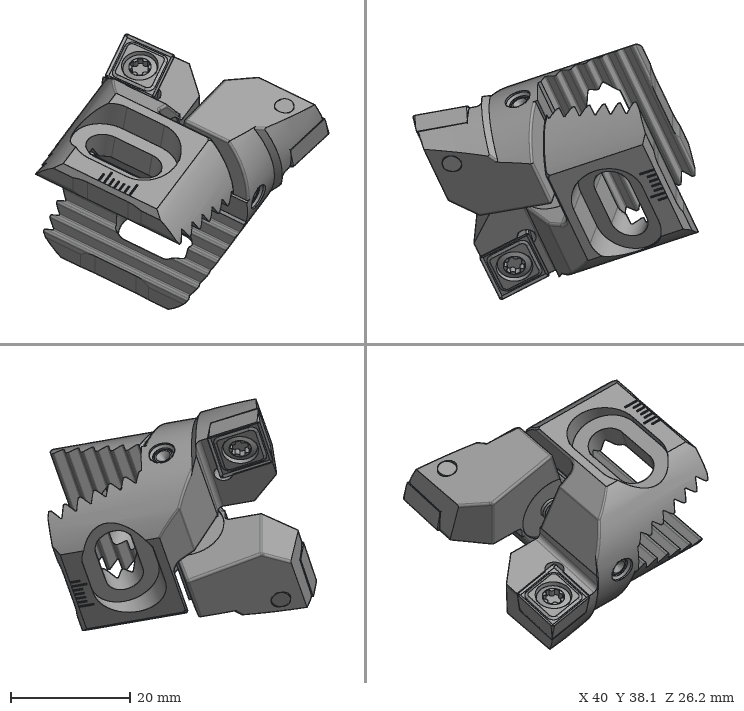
import cadquery as cq
import math


holder_radius = 16.0
holder_axis_x = -0.75
holder_height = 26.2
tilt = 15.0
slope = math.tan(math.radians(tilt))
reach = 40.0

half_height = holder_height / 2

finger_inner_x = -2.35
finger_end_y = 37.9
finger_rear_y = 16.75
rear_flat_bottom_z = -2.3
rear_step = 0.45
back_slope_start = (19.65, -12.3)
end_slope_y = 36.9
tip_chamfer = 5.1
inner_round = 0.45
outer_round = 0.4
flare_start_y = 25.5
flare_step = 0.95
flare_growth = 0.165
seat_wall_y = 26.5
seat_wall_top_z = 2.9
seat_fillet = 0.9
shoulder = (22.5, 10.15)
shoulder_start_y = 18.25

jaw_chamfer = 1.05
jaw_lip_z = 8.5
jaw_front_y = 18.65
jaw_corner_fillet = 1.8
jaw_bevel = 0.3
tooth_count = 6
tooth_pitch_y = 2.66
first_valley = (15.65, 5.35)
first_tip = (13.8, 3.9)
tip_flat = 0.5
tooth_round = 0.15
jaw_root = [(16.25, 3.35), (finger_rear_y, 3.1)]

slot_center_x = -3.2
slot_top_y = 10.45
slot_straight = 7.3
slot_radius = 3.3
counterbore_radius = 6.0
counterbore_depth = 3.25

recess_half_flat = 4.0
recess_half_width = 6.7
recess_depth = 0.3

mark_count = 7
mark_pitch = 1.0
long_marks = (1, 6)
mark_start_y = 1.15
mark_length = 1.55
long_mark_length = 2.5
mark_width = 0.25
mark_depth = 0.1

insert_tilt = 3.0
insert_width = 9.5
insert_angle = 80.0
insert_thickness = 3.95
insert_relief = 7.0
insert_corner = 0.4
insert_center = (-14.4, 33.3)
insert_tip = (-20.0, 0.0)
insert_above_seat = 0.2
groove_depth = 0.25
groove_taper = 65.0
plateau_inset = 1.3
plateau_corner = 0.8
corner_relief_center = (-9.65, 29.25)
corner_relief_radius = 1.6
corner_relief_bottom_radius = 0.8

screw_bore_radius = 3.1
screw_head_radius = 2.9
screw_face_radius = 1.9
screw_face_depth = 0.3
screw_rim_depth = 0.7
screw_head_depth = 1.9
screw_shank_radius = 1.65
screw_length = 8.9
star_outer_radius = 1.7
rib_center_radius = 1.8
rib_radius = 0.5
star_depth = 1.6
star_points = 6

adjuster_y = 20.3
adjuster_radius = 1.8
adjuster_tip_x = -1.9
adjuster_outer_x = -15.8
adjuster_chamfer = 0.3
spotface_radius = 6.0
spotface_x = -2.75
adjuster_mouth = 0.45
pit_radius = 1.25
pit_depth = 1.2


def extrude_yz(outline, x_from, x_to):
    """Prism along X over an outline of (y, z) points."""
    return cq.Workplane("YZ").workplane(offset=x_from).polyline(outline).close().extrude(x_to - x_from)


def tilted(body):
    """Turn a body drawn level into the tilt of the insert seat."""
    pivot_x, pivot_z = insert_tip
    return body.rotate((pivot_x, 0, pivot_z), (pivot_x, 1, pivot_z), -insert_tilt)


def half_turn(body):
    return body.rotate((0, 0, 0), (0, 1, 0), 180)


def middle(start, end):
    return (start + end) / 2


def jaw_front_at(z):
    return jaw_front_y - slope * (half_height - z)


def tooth_points():
    points = []
    for i in reversed(range(tooth_count)):
        dy = -i * tooth_pitch_y
        dz = i * tooth_pitch_y * slope
        points.append((first_tip[0] + dy - tip_flat / 2, first_tip[1] + dz))
        points.append((first_tip[0] + dy + tip_flat / 2, first_tip[1] + dz))
        points.append((first_valley[0] + dy, first_valley[1] + dz))
    return points


def back_z(y):
    """Height of the finger's sloping back."""
    return back_slope_start[1] + slope * (y - back_slope_start[0])


def rear_y(z):
    """Position of the finger's leaning rear face."""
    return finger_rear_y + rear_step + slope * (rear_flat_bottom_z - z)


def rear_corner():
    """Where the rear face and the sloping back meet; both lean by the tilt, so at a right angle."""
    start_y, start_z = back_slope_start
    y = (rear_y(start_z) + slope ** 2 * start_y) / (1 + slope ** 2)
    return y, back_z(y)


def side_profile():
    outline = [
        (finger_rear_y, rear_flat_bottom_z),
        (rear_y(rear_flat_bottom_z), rear_flat_bottom_z),
        rear_corner(),
        (end_slope_y, back_z(end_slope_y)),
        (finger_end_y, 0),
        (finger_end_y, seat_wall_top_z),
        (seat_wall_y, seat_wall_top_z),
        shoulder,
        (shoulder_start_y, half_height),
        (jaw_chamfer, half_height),
        (0, half_height - jaw_chamfer),
        (0, jaw_lip_z),
    ]
    return outline + tooth_points() + jaw_root


def round_outside():
    """Cylinder with the flared cutting end, about the holder's own axis."""
    flare_y = flare_start_y + flare_step
    flare_radius = holder_radius + flare_step
    end_radius = flare_radius + flare_growth * (reach - flare_y)
    outline = [
        (0, 0),
        (holder_radius, 0),
        (holder_radius, flare_start_y),
        (flare_radius, flare_y),
        (end_radius, reach),
        (0, reach),
    ]
    body = cq.Workplane("XY").polyline(outline).close().revolve(360, (0, 0), (0, 1))
    return body.translate((holder_axis_x, 0, 0))


def gap_tool():
    """Space in front of the jaw, beside the finger, where the other finger goes."""
    outline = [
        (jaw_front_at(-reach), -reach),
        (jaw_front_at(reach), reach),
        (2 * reach, reach),
        (2 * reach, -reach),
    ]
    tool = extrude_yz(outline, finger_inner_x, reach)
    corner = cq.selectors.NearestToPointSelector((finger_inner_x, jaw_front_at(0), 0))
    return tool.edges(corner).fillet(jaw_corner_fillet)


def spotface_tool():
    """Round clearance about the adjusting screw, between the fingers and up to the jaw."""
    tool = cq.Workplane("YZ").circle(spotface_radius).extrude(reach)
    return tool.translate((spotface_x, adjuster_y, 0))


def tip_chamfer_tool():
    start_x = finger_inner_x - tip_chamfer
    outline = [
        (start_x, finger_end_y),
        (start_x + reach, finger_end_y),
        (start_x + reach, finger_end_y - reach),
    ]
    return cq.Workplane("XY").polyline(outline).close().extrude(reach, both=True)


def seat_tool():
    """Space above the insert seat, with the rounded foot of its wall."""
    tool = cq.Workplane("XY").box(2 * reach, reach, reach, centered=(True, False, False))
    tool = tool.edges("<Y and <Z").fillet(seat_fillet)
    tool = tool.translate((0, seat_wall_y, -insert_above_seat))
    return tilted(tool)


def slot_tool():
    """Counterbored obround slot, square to the teeth."""
    plane = cq.Plane(
        origin=(slot_center_x, slot_top_y, half_height),
        xDir=(1, 0, 0),
        normal=(0, math.sin(math.radians(tilt)), math.cos(math.radians(tilt))),
    )

    def obround(radius, bottom, height):
        profile = cq.Workplane(plane).workplane(offset=bottom)
        return profile.slot2D(slot_straight + 2 * radius, 2 * radius).extrude(height)

    counterbore = obround(counterbore_radius, -counterbore_depth, 2 * counterbore_depth)
    through = obround(slot_radius, -half_height, half_height)
    return counterbore.union(through)


def recess_tool():
    ramp = recess_half_width - recess_half_flat
    bend_x = recess_half_width - ramp / 2
    bend_y = recess_depth * 3 / 4
    return (
        cq.Workplane("XY")
        .moveTo(-recess_half_width, 0)
        .threePointArc((-bend_x, bend_y), (-recess_half_flat, recess_depth))
        .lineTo(recess_half_flat, recess_depth)
        .threePointArc((bend_x, bend_y), (recess_half_width, 0))
        .close()
        .extrude(half_height)
        .translate((holder_axis_x, 0, 0))
    )


def graduation_tool():
    marks = []
    for i in range(mark_count):
        x = (i - (mark_count - 1) / 2) * mark_pitch
        length = long_mark_length if i in long_marks else mark_length
        mark = cq.Workplane("XY").box(mark_width, length, mark_depth, centered=(True, False, False))
        marks.append(mark.translate((x, mark_start_y, half_height - mark_depth)).val())
    return cq.Compound.makeCompound(marks)


def adjuster_bore():
    mouth_x = holder_axis_x - holder_radius
    mouth_radius = adjuster_radius + adjuster_mouth
    outline = [
        (mouth_x - mouth_radius, 0),
        (mouth_x - mouth_radius, mouth_radius),
        (mouth_x + adjuster_mouth, mouth_radius),
        (mouth_x + 2 * adjuster_mouth, adjuster_radius),
        (0, adjuster_radius),
        (0, 0),
    ]
    bore = cq.Workplane("XY").polyline(outline).close().revolve(360, (0, 0), (1, 0))
    return bore.translate((0, adjuster_y, 0))


def insert_screw_bore():
    bore = cq.Workplane("XY").circle(screw_shank_radius).extrude(-half_height)
    return tilted(bore.translate((*insert_center, 0)))


def corner_relief():
    relief = cq.Solid.makeCone(
        corner_relief_bottom_radius, corner_relief_radius, insert_thickness,
        pnt=cq.Vector(*corner_relief_center, -insert_thickness - insert_above_seat),
    )
    return tilted(relief)


def side_x(z, side):
    """Where the round outside lies at a height; side is -1 for the outer side of the finger, 1 for the other."""
    return holder_axis_x + side * math.sqrt(holder_radius ** 2 - z ** 2)


def soften_edges(body):
    """Round the long edges of the finger and bevel the end of the jaw's front edge."""

    def edges_near(*points):
        found = [body.edges(cq.selectors.NearestToPointSelector(point)).val() for point in points]
        return body.newObject(found)

    corner_y, corner_z = rear_corner()
    mid_y = middle(corner_y, finger_end_y - tip_chamfer)
    chamfer_mid_x = finger_inner_x - tip_chamfer / 2
    chamfer_mid_y = finger_end_y - tip_chamfer / 2
    wall_y = middle(shoulder[0], seat_wall_y)
    wall_z = middle(shoulder[1], seat_wall_top_z)
    top_y = middle(shoulder[0], shoulder_start_y)
    top_z = middle(shoulder[1], half_height)
    rear_z = middle(rear_flat_bottom_z, corner_z)
    step_y = flare_start_y + flare_step / 2
    step_z = back_z(step_y)
    jaw_z = middle(first_valley[1], half_height)

    body = edges_near(
        (side_x(rear_z, -1), rear_y(rear_z), rear_z),
        (side_x(corner_z, -1) / 2, corner_y, corner_z),
        (side_x(step_z, -1) - flare_step / 2, step_y, step_z),
    ).fillet(outer_round)
    body = edges_near((finger_inner_x, mid_y, back_z(mid_y))).fillet(inner_round)
    body = edges_near((chamfer_mid_x, chamfer_mid_y, back_z(chamfer_mid_y))).fillet(inner_round)
    body = edges_near((side_x(wall_z, -1), wall_y, wall_z)).fillet(outer_round)
    body = edges_near((side_x(top_z, -1), top_y, top_z)).fillet(outer_round)
    body = edges_near((finger_inner_x, wall_y, wall_z), (finger_inner_x, top_y, top_z)).fillet(inner_round)
    return edges_near((side_x(jaw_z, 1), jaw_front_at(jaw_z), jaw_z)).chamfer(jaw_bevel)


def make_holder():
    body = extrude_yz(side_profile(), -reach, reach)
    tooth_zone = cq.selectors.BoxSelector(
        (-0.4, tooth_round, first_tip[1] - tooth_round),
        (0.4, first_valley[0] + tooth_round, half_height - jaw_chamfer),
    )
    body = body.edges("|X").edges(tooth_zone).fillet(tooth_round)
    body = body.intersect(round_outside())
    body = body.cut(gap_tool()).cut(tip_chamfer_tool())
    body = soften_edges(body)
    body = body.cut(spotface_tool()).cut(seat_tool())
    body = body.cut(slot_tool()).cut(recess_tool()).cut(graduation_tool())
    body = body.cut(adjuster_bore()).cut(insert_screw_bore())
    body = body.cut(insert_blank()).cut(corner_relief())
    return body


def rhombus(inset, corner):
    """Outline of the insert, moved inwards by the inset, with rounded corners."""
    side = (insert_width - 2 * inset) / math.sin(math.radians(insert_angle))
    half_rise = insert_width / 2 - inset
    lean = half_rise / math.tan(math.radians(insert_angle))
    points = [
        (-side / 2 - lean, half_rise),
        (side / 2 - lean, half_rise),
        (side / 2 + lean, -half_rise),
        (-side / 2 + lean, -half_rise),
    ]
    blank = cq.Workplane("XY").polyline(points).close().extrude(0.4).edges("|Z").fillet(corner)
    return blank.faces("<Z").wires().toPending()


def insert_blank():
    blank = rhombus(0, insert_corner).extrude(-insert_thickness, taper=insert_relief, combine=False)
    return tilted(blank.translate((*insert_center, 0)))


def screw_head_room():
    outline = [
        (0, 0),
        (screw_bore_radius, 0),
        (screw_head_radius, -screw_rim_depth),
        (screw_shank_radius, -screw_head_depth),
        (screw_shank_radius, -insert_thickness),
        (0, -insert_thickness),
    ]
    return cq.Workplane("XZ").polyline(outline).close().revolve(360, (0, 0), (0, 1))


def chip_groove():
    rim = rhombus(0, insert_corner)
    outer = rim.extrude(-groove_depth, taper=groove_taper, combine=False)
    plateau_edge = rhombus(plateau_inset, plateau_corner)
    plateau = plateau_edge.extrude(-groove_depth, taper=-groove_taper, combine=False)
    return outer.cut(plateau)


def make_insert():
    center = (*insert_center, 0)
    cuts = screw_head_room().union(chip_groove()).translate(center)
    return insert_blank().cut(tilted(cuts))


def star_socket():
    """Six-lobed socket: a round hole with six ribs reaching inwards."""
    ribs = cq.Workplane("XY").polarArray(rib_center_radius, 180 / star_points, 360, star_points)
    ribs = ribs.circle(rib_radius).extrude(-star_depth)
    return cq.Workplane("XY").circle(star_outer_radius).extrude(-star_depth).cut(ribs)


def make_insert_screw():
    outline = [
        (0, -screw_face_depth),
        (screw_face_radius, -screw_face_depth),
        (screw_head_radius, -screw_rim_depth),
        (screw_shank_radius, -screw_head_depth),
        (screw_shank_radius, -screw_length),
        (0, -screw_length),
    ]
    screw = cq.Workplane("XZ").polyline(outline).close().revolve(360, (0, 0), (0, 1))
    screw = screw.cut(star_socket())
    return tilted(screw.translate((*insert_center, 0)))


def make_adjusting_screw():
    length = adjuster_tip_x - adjuster_outer_x
    screw = cq.Workplane("YZ").circle(adjuster_radius).extrude(length)
    screw = screw.edges().chamfer(adjuster_chamfer)
    screw = screw.cut(cq.Solid.makeCone(pit_radius, 0, pit_depth, dir=cq.Vector(1, 0, 0)))
    return screw.translate((adjuster_outer_x, adjuster_y, 0))


bodies = []
for make_body in (make_holder, make_insert, make_insert_screw, make_adjusting_screw):
    body = make_body()
    bodies.append(body.val())
    bodies.append(half_turn(body).val())

result = cq.Compound.makeCompound(bodies)